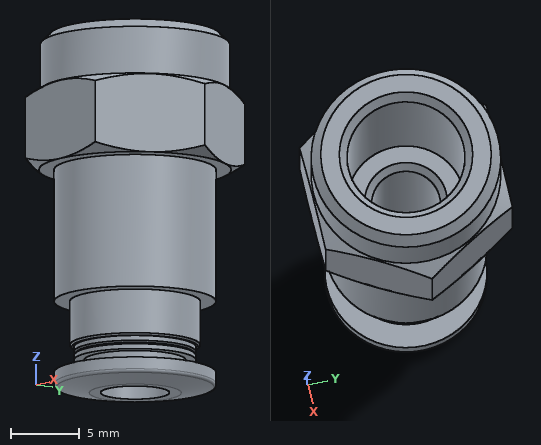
import cadquery as cq
import math

total_length = 26.5

flange_diameter = 11.8
end_face_diameter = 6.7
end_cone_base = 0.4
end_cone_diameter = 11.5
flange_edge_round_top = 0.65
flange_top = 1.5
neck_diameter = 7.4
neck_fillet = 0.35

rim_diameter = 8.9
rim_bottom = 2.4
groove_bottom = 2.76
groove_width = 0.26
stem_diameter = 9.5
stem_bottom = 3.37
stem_chamfer = 0.15

body_diameter = 11.8
body_bottom = 6.75
hex_across_flats = 14.0
hex_bottom = 16.5
hex_top = 22.35
hex_bevel_angle = 30.0
collar_diameter = 13.8
collar_chamfer = 0.7

thread_bore_diameter = 8.57
thread_bore_depth = 10.0
mouth_diameter = 9.7
passage_diameter = 5.0
passage_mouth_diameter = 6.0

hex_across_corners = hex_across_flats / math.cos(math.radians(30))


def turned_solid(outline):
    """Revolve a closed (radius, Z) outline about the Z axis."""
    return outline.close().revolve(360, (0, 0, 0), (0, 1, 0))


def make_release_ring_and_sleeve():
    """Everything below the main body, turned in one outline."""
    flange_radius = flange_diameter / 2
    cone_radius = end_cone_diameter / 2
    neck_radius = neck_diameter / 2
    rim_radius = rim_diameter / 2
    stem_radius = stem_diameter / 2
    groove_depth = groove_width / 2
    fillet_sag = neck_fillet * (1 - math.sin(math.radians(45)))
    outline = (
        cq.Workplane("XZ")
        .moveTo(0, 0)
        .lineTo(end_face_diameter / 2, 0)
        .lineTo(cone_radius, end_cone_base)
        .tangentArcPoint((flange_radius, flange_edge_round_top), relative=False)
        .lineTo(flange_radius, flange_top)
        .lineTo(neck_radius + neck_fillet, flange_top)
        .threePointArc(
            (neck_radius + fillet_sag, flange_top + fillet_sag),
            (neck_radius, flange_top + neck_fillet),
        )
        .lineTo(neck_radius, rim_bottom)
        .lineTo(rim_radius, rim_bottom)
        .lineTo(rim_radius, groove_bottom)
        .lineTo(rim_radius - groove_depth, groove_bottom + groove_depth)
        .lineTo(rim_radius, groove_bottom + groove_width)
        .lineTo(rim_radius, stem_bottom)
        .lineTo(stem_radius - stem_chamfer, stem_bottom)
        .lineTo(stem_radius, stem_bottom + stem_chamfer)
        .lineTo(stem_radius, body_bottom)
        .lineTo(0, body_bottom)
    )
    return turned_solid(outline)


def make_body():
    """Plain cylinder between the sleeve and the hexagon."""
    return (
        cq.Workplane("XY", origin=(0, 0, body_bottom))
        .circle(body_diameter / 2)
        .extrude(hex_bottom - body_bottom)
    )


def make_hexagon():
    """Hexagon with corners on the X axis; the top bevel starts at the collar, the bottom one at the flats."""
    prism = (
        cq.Workplane("XY", origin=(0, 0, hex_bottom))
        .polygon(6, hex_across_corners)
        .extrude(hex_top - hex_bottom)
    )
    bottom_radius = hex_across_flats / 2
    top_radius = collar_diameter / 2
    corner_radius = hex_across_corners / 2
    bevel_slope = math.tan(math.radians(hex_bevel_angle))
    envelope = turned_solid(
        cq.Workplane("XZ")
        .moveTo(0, hex_bottom)
        .lineTo(bottom_radius, hex_bottom)
        .lineTo(corner_radius, hex_bottom + (corner_radius - bottom_radius) * bevel_slope)
        .lineTo(corner_radius, hex_top - (corner_radius - top_radius) * bevel_slope)
        .lineTo(top_radius, hex_top)
        .lineTo(0, hex_top)
    )
    return prism.intersect(envelope)


def make_collar():
    """Round collar above the hexagon, chamfered at its top edge."""
    return (
        cq.Workplane("XY", origin=(0, 0, hex_top))
        .circle(collar_diameter / 2)
        .extrude(total_length - hex_top)
        .faces(">Z")
        .chamfer(collar_chamfer)
    )


def make_bore():
    """Thread bore and through passage, each with a 45 degree mouth."""
    bore_radius = thread_bore_diameter / 2
    mouth_radius = mouth_diameter / 2
    passage_radius = passage_diameter / 2
    passage_mouth_radius = passage_mouth_diameter / 2
    floor = total_length - thread_bore_depth
    return turned_solid(
        cq.Workplane("XZ")
        .moveTo(0, 0)
        .lineTo(passage_radius, 0)
        .lineTo(passage_radius, floor - (passage_mouth_radius - passage_radius))
        .lineTo(passage_mouth_radius, floor)
        .lineTo(bore_radius, floor)
        .lineTo(bore_radius, total_length - (mouth_radius - bore_radius))
        .lineTo(mouth_radius, total_length)
        .lineTo(0, total_length)
    )


result = (
    make_release_ring_and_sleeve()
    .union(make_body())
    .union(make_hexagon())
    .union(make_collar())
    .cut(make_bore())
)